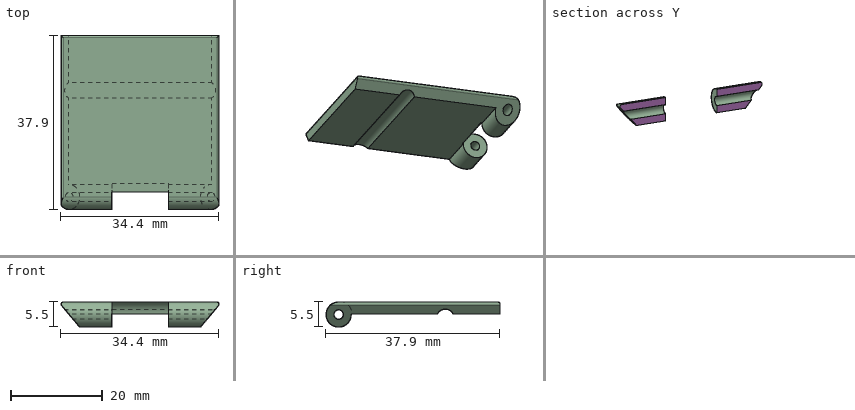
import cadquery as cq
import math

length = 37.9
width = 34.38
height = 5.5
barrel_radius = height / 2
plate_thickness = 2.65
plate_bottom = barrel_radius - plate_thickness
back_y = length - barrel_radius

side_angle = 50.0
edge_radius = 0.5

pin_diameter = 2.0
knuckle_gap = 12.3
gap_clearance = 0.2
gap_radius = barrel_radius + gap_clearance

groove_radius = 1.9
groove_depth = 1.05
groove_from_back = 11.95


def x_cylinder(radius, x_length, y=0.0, z=0.0):
    """Cylinder parallel to X, centred on X = 0."""
    start = (-x_length / 2, y, z)
    return cq.Workplane("YZ", origin=start).circle(radius).extrude(x_length)


def make_plate_and_barrel():
    """Flat leaf with a rounded rear top edge, joined to the hinge barrel."""
    leaf = (
        cq.Workplane("XY", origin=(0, 0, plate_bottom))
        .box(width, back_y, plate_thickness, centered=(True, False, False))
        .edges(">Y and >Z")
        .fillet(edge_radius)
    )
    return leaf.union(x_cylinder(barrel_radius, width))


def make_side_envelope():
    """Inverted trapezoid along Y that slopes the sides and rounds their top edges."""
    slope = math.radians(side_angle)
    sharp_half_width = width / 2 - edge_radius + edge_radius / math.tan(slope / 2)
    bottom_half_width = sharp_half_width - height / math.tan(slope)
    return (
        cq.Workplane("XZ", origin=(0, back_y, 0))
        .moveTo(-bottom_half_width, -barrel_radius)
        .lineTo(bottom_half_width, -barrel_radius)
        .lineTo(sharp_half_width, barrel_radius)
        .lineTo(-sharp_half_width, barrel_radius)
        .close()
        .extrude(length)
        .edges("|Y and >Z")
        .fillet(edge_radius)
    )


pin_hole = x_cylinder(pin_diameter / 2, width)
gap = x_cylinder(gap_radius, knuckle_gap)
groove = x_cylinder(
    groove_radius,
    width,
    y=back_y - groove_from_back,
    z=plate_bottom + groove_depth - groove_radius,
)

result = make_plate_and_barrel().intersect(make_side_envelope()).cut(pin_hole).cut(gap).cut(groove)